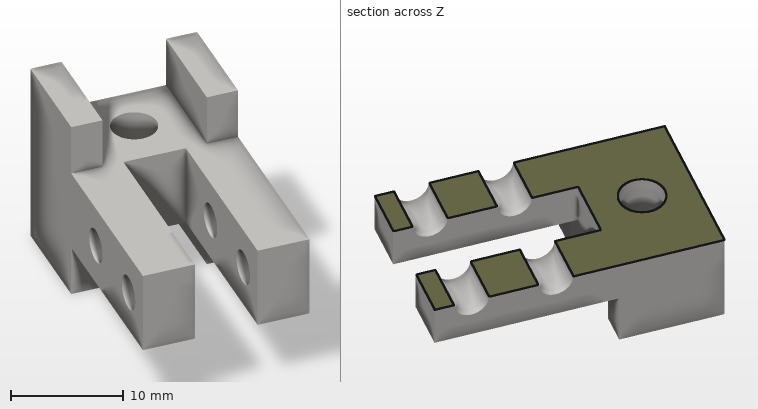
import cadquery as cq

length = 27.5
width = 16.0
flange_height = 18.0

head_length = 10.0
flange_thickness = 3.0
body_height = 8.0

slot_width = 6.0

mount_hole_diameter = 4.3
mount_hole_x = head_length / 2
pin_hole_diameter = 3.3
pin_hole_positions = (16.0, 24.0)


def make_body():
    """Central bar that forms both the web of the head and the fork arms."""
    return cq.Workplane("XY").box(length, width, body_height, centered=(False, True, True))


def make_flange(side):
    """Tall side plate of the head; side is -1 or +1 along Y."""
    offset_y = side * (width - flange_thickness) / 2
    flange = cq.Workplane("XY").box(
        head_length, flange_thickness, flange_height, centered=(False, True, True)
    )
    return flange.translate((0, offset_y, 0))


def make_fork_slot():
    """Open-ended slot that splits the bar into two arms."""
    slot = cq.Workplane("XY").box(
        length - head_length, slot_width, body_height, centered=(False, True, True)
    )
    return slot.translate((head_length, 0, 0))


def make_mount_hole():
    """Vertical through hole in the web of the head."""
    hole = cq.Workplane("XY").center(mount_hole_x, 0).circle(mount_hole_diameter / 2)
    return hole.extrude(body_height / 2, both=True)


def make_pin_hole(position_x):
    """Cross hole through both fork arms."""
    hole = cq.Workplane("XZ").center(position_x, 0).circle(pin_hole_diameter / 2)
    return hole.extrude(width / 2, both=True)


result = make_body()
for side in (-1, 1):
    result = result.union(make_flange(side))
result = result.cut(make_fork_slot()).cut(make_mount_hole())
for position_x in pin_hole_positions:
    result = result.cut(make_pin_hole(position_x))